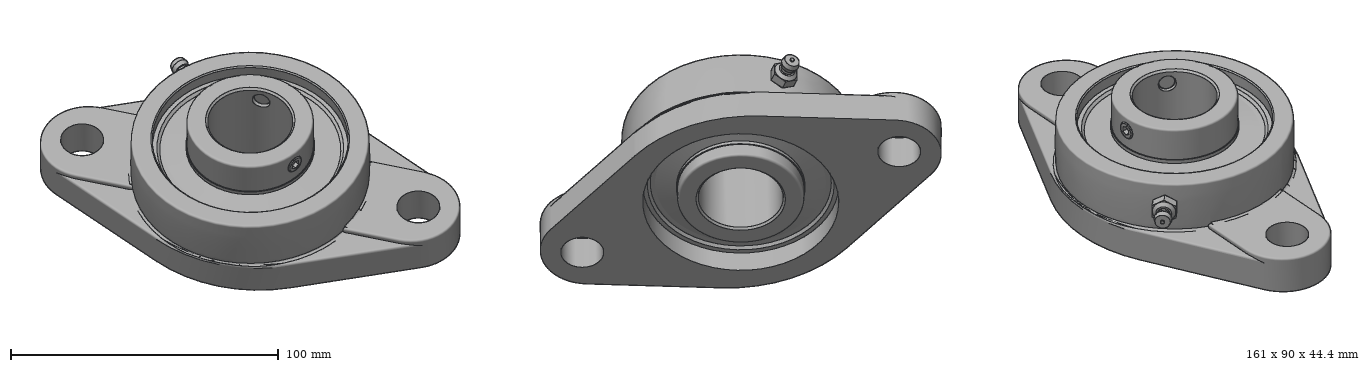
import cadquery as cq
import math

FLANGE_LENGTH = 161.0
FLANGE_WIDTH = 90.0
LUG_RADIUS = 18.0
MIDDLE_ARC_RADIUS = 57.0
PLATE_HEIGHT = 13.1
PAD_HEIGHT = 15.0
EDGE_FILLET = 1.0
BOLT_SPACING = 130.0
BOLT_HOLE_DIAMETER = 16.0

BODY_TOP = 34.0
BODY_END_RADIUS = 44.4
BODY_MIDDLE_RADIUS = 44.65
BODY_FOOT_FILLET = 1.0
HOUSING_BORE_DIAMETER = 73.17
HOUSING_BORE_MOUTH_DIAMETER = 74.17

BEARING_MID_Z = 19.0
OUTER_RING_HALF_WIDTH = 10.0
OUTER_RING_BORE_RADIUS = 33.8
OUTER_RING_MOUTH_RADIUS = 34.86
OUTER_RING_CHAMFER_DEPTH = 1.0

INNER_RING_TOP = 44.4
INNER_RING_BOTTOM = 1.5
INNER_RING_DIAMETER = 47.24
INNER_RING_EDGE_FILLET = 1.0
SHAFT_BORE_DIAMETER = 31.75
SHAFT_BORE_CHAMFER = 0.8

SEAL_RIM_INNER_DIAMETER = 63.8
SEAL_FACE_RISE = 1.45
SEAL_THICKNESS = 1.5
SEAL_COLLAR_DIAMETER = 48.0
SEAL_COLLAR_HEIGHT = 1.5

SCREW_DIAMETER = 6.78
SCREW_END_DIAMETER = 6.0
SCREW_END_CHAMFER = (SCREW_DIAMETER - SCREW_END_DIAMETER) / 2
SCREW_Z = 38.4
SCREW_ANGLES = (-30.0, 90.0)
SCREW_INNER_END = 17.0
SCREW_OUTER_END = 24.0
SOCKET_ACROSS_FLATS = 3.2
SOCKET_DEPTH = 3.0

NIPPLE_ANGLE = 135.0
NIPPLE_Z = 24.0
NIPPLE_STEM_RADIUS = 5.99 / 2
NIPPLE_STEM_START = 38.0
NIPPLE_HEX_START = 44.4
NIPPLE_HEX_END = 48.0
NIPPLE_HEX_ACROSS_FLATS = 9.0
NIPPLE_CONE_END = 49.2
NIPPLE_CONE_BASE_RADIUS = 4.4
NIPPLE_CONE_TOP_RADIUS = 3.0
NIPPLE_NECK_RADIUS = 2.3
NIPPLE_NECK_END = 50.8
NIPPLE_HEAD_SHOULDER_RADIUS = 2.8
NIPPLE_HEAD_WIDEST = 52.6
NIPPLE_HEAD_RADIUS = 6.78 / 2
NIPPLE_HEAD_END = 54.6
NIPPLE_HEAD_END_RADIUS = 2.9
NIPPLE_BALL_RADIUS = 1.5 / 2
NIPPLE_TIP = 55.1


def revolve_about_z(points):
    """Solid of revolution from (radius, z) points."""
    return cq.Workplane("XZ").polyline(points).close().revolve(360, (0, 0, 0), (0, 1, 0))


def radial_plane(angle, distance, z):
    """Plane at a distance from the bearing axis, facing outward at the given angle, with local y up."""
    across = math.cos(math.radians(angle))
    along = math.sin(math.radians(angle))
    origin = (distance * across, distance * along, z)
    return cq.Plane(origin=origin, xDir=(-along, across, 0), normal=(across, along, 0))


def flange_outline():
    lug_x = FLANGE_LENGTH / 2 - LUG_RADIUS
    arc_drop = MIDDLE_ARC_RADIUS - FLANGE_WIDTH / 2
    centre_distance = math.hypot(lug_x, arc_drop)
    radius_difference = MIDDLE_ARC_RADIUS - LUG_RADIUS
    flank_normal = math.acos(radius_difference / centre_distance) + math.atan2(arc_drop, lug_x)
    cosine, sine = math.cos(flank_normal), math.sin(flank_normal)
    lug_touch_x = lug_x + LUG_RADIUS * cosine
    lug_touch_y = LUG_RADIUS * sine
    arc_touch_x = MIDDLE_ARC_RADIUS * cosine
    arc_touch_y = MIDDLE_ARC_RADIUS * sine - arc_drop
    return (
        cq.Workplane("XY")
        .moveTo(-arc_touch_x, arc_touch_y)
        .threePointArc((0, FLANGE_WIDTH / 2), (arc_touch_x, arc_touch_y))
        .lineTo(lug_touch_x, lug_touch_y)
        .threePointArc((FLANGE_LENGTH / 2, 0), (lug_touch_x, -lug_touch_y))
        .lineTo(arc_touch_x, -arc_touch_y)
        .threePointArc((0, -FLANGE_WIDTH / 2), (-arc_touch_x, -arc_touch_y))
        .lineTo(-lug_touch_x, -lug_touch_y)
        .threePointArc((-FLANGE_LENGTH / 2, 0), (-lug_touch_x, lug_touch_y))
        .close()
    )


def make_foot(floor):
    """Concave fillet ring around the round body where it stands on a floor at the given height."""
    return (
        cq.Workplane("XZ")
        .moveTo(HOUSING_BORE_DIAMETER / 2, floor)
        .lineTo(BODY_END_RADIUS + BODY_FOOT_FILLET, floor)
        .radiusArc((BODY_END_RADIUS, floor + BODY_FOOT_FILLET), BODY_FOOT_FILLET)
        .lineTo(HOUSING_BORE_DIAMETER / 2, floor + BODY_FOOT_FILLET)
        .close()
        .revolve(360, (0, 0, 0), (0, 1, 0))
    )


def make_housing():
    plate = flange_outline().extrude(PLATE_HEIGHT).faces(">Z").edges().fillet(EDGE_FILLET)
    pad = (
        cq.Workplane("XY")
        .slot2D(FLANGE_LENGTH, 2 * LUG_RADIUS)
        .extrude(PAD_HEIGHT)
        .faces(">Z")
        .edges()
        .fillet(EDGE_FILLET)
    )
    barrel_top = BODY_TOP - EDGE_FILLET
    body = (
        cq.Workplane("XZ")
        .lineTo(BODY_END_RADIUS, 0)
        .lineTo(BODY_END_RADIUS, PLATE_HEIGHT)
        .threePointArc(
            (BODY_MIDDLE_RADIUS, (PLATE_HEIGHT + barrel_top) / 2),
            (BODY_END_RADIUS, barrel_top),
        )
        .radiusArc((BODY_END_RADIUS - EDGE_FILLET, BODY_TOP), -EDGE_FILLET)
        .lineTo(0, BODY_TOP)
        .close()
        .revolve(360, (0, 0, 0), (0, 1, 0))
    )
    plate_foot = make_foot(PLATE_HEIGHT).intersect(flange_outline().extrude(BODY_TOP))
    pad_top_width = 2 * (LUG_RADIUS - EDGE_FILLET)
    pad_foot = make_foot(PAD_HEIGHT).intersect(
        cq.Workplane("XY").rect(FLANGE_LENGTH, pad_top_width).extrude(BODY_TOP)
    )
    bolt_holes = (
        cq.Workplane("XY")
        .pushPoints([(-BOLT_SPACING / 2, 0), (BOLT_SPACING / 2, 0)])
        .circle(BOLT_HOLE_DIAMETER / 2)
        .extrude(PAD_HEIGHT)
    )
    bore = cq.Workplane("XY").circle(HOUSING_BORE_DIAMETER / 2).extrude(BODY_TOP)
    mouth_chamfer = (HOUSING_BORE_MOUTH_DIAMETER - HOUSING_BORE_DIAMETER) / 2
    housing = plate.union(pad).union(body).union(plate_foot).union(pad_foot)
    housing = housing.cut(bolt_holes).cut(bore)
    bore_mouth = cq.selectors.RadiusNthSelector(0)
    return housing.faces(">Z").edges(bore_mouth).chamfer(mouth_chamfer)


def make_outer_ring():
    outer = HOUSING_BORE_DIAMETER / 2
    top = BEARING_MID_Z + OUTER_RING_HALF_WIDTH
    bottom = BEARING_MID_Z - OUTER_RING_HALF_WIDTH
    return revolve_about_z([
        (outer, bottom),
        (outer, top),
        (OUTER_RING_MOUTH_RADIUS, top),
        (OUTER_RING_BORE_RADIUS, top - OUTER_RING_CHAMFER_DEPTH),
        (OUTER_RING_BORE_RADIUS, bottom + OUTER_RING_CHAMFER_DEPTH),
        (OUTER_RING_MOUTH_RADIUS, bottom),
    ])


def make_inner_ring():
    outer = INNER_RING_DIAMETER / 2
    bore = SHAFT_BORE_DIAMETER / 2
    ring = revolve_about_z([
        (bore + SHAFT_BORE_CHAMFER, INNER_RING_BOTTOM),
        (outer, INNER_RING_BOTTOM),
        (outer, INNER_RING_TOP),
        (bore + SHAFT_BORE_CHAMFER, INNER_RING_TOP),
        (bore, INNER_RING_TOP - SHAFT_BORE_CHAMFER),
        (bore, INNER_RING_BOTTOM + SHAFT_BORE_CHAMFER),
    ])
    outer_rim = cq.selectors.RadiusNthSelector(-1)
    ring = ring.faces(">Z").edges(outer_rim).fillet(INNER_RING_EDGE_FILLET)
    return ring.faces("<Z").edges(outer_rim).fillet(INNER_RING_EDGE_FILLET)


def make_seal(side):
    """Conical seal with a hub collar, above (side 1) or below (side -1) the bearing mid plane."""
    rim = BEARING_MID_Z + side * (OUTER_RING_HALF_WIDTH - OUTER_RING_CHAMFER_DEPTH)
    hub = rim + side * SEAL_FACE_RISE
    collar = hub + side * SEAL_COLLAR_HEIGHT
    back = rim - side * SEAL_THICKNESS
    return revolve_about_z([
        (OUTER_RING_BORE_RADIUS, back),
        (OUTER_RING_BORE_RADIUS, rim),
        (SEAL_RIM_INNER_DIAMETER / 2, rim),
        (SEAL_COLLAR_DIAMETER / 2, hub),
        (SEAL_COLLAR_DIAMETER / 2, collar),
        (INNER_RING_DIAMETER / 2, collar),
        (INNER_RING_DIAMETER / 2, back),
    ])


def make_screw_hole(angle):
    plane = radial_plane(angle, 0, SCREW_Z)
    return cq.Workplane(plane).circle(SCREW_DIAMETER / 2).extrude(SCREW_OUTER_END)


def make_set_screw(angle):
    length = SCREW_OUTER_END - SCREW_INNER_END
    start = cq.Workplane(radial_plane(angle, SCREW_INNER_END, SCREW_Z))
    shank = start.circle(SCREW_DIAMETER / 2).extrude(length).edges().chamfer(SCREW_END_CHAMFER)
    socket = (
        cq.Workplane(radial_plane(angle, SCREW_OUTER_END - SOCKET_DEPTH, SCREW_Z))
        .polygon(6, SOCKET_ACROSS_FLATS, circumscribed=True)
        .extrude(SOCKET_DEPTH)
    )
    return shank.cut(socket)


def make_nipple():
    hexagon = (
        cq.Workplane(radial_plane(NIPPLE_ANGLE, NIPPLE_HEX_START, NIPPLE_Z))
        .polygon(6, NIPPLE_HEX_ACROSS_FLATS, circumscribed=True)
        .extrude(NIPPLE_HEX_END - NIPPLE_HEX_START)
    )
    plane = radial_plane(NIPPLE_ANGLE, 0, NIPPLE_Z)
    profile_plane = cq.Plane(origin=plane.origin, xDir=plane.zDir, normal=plane.yDir)
    turned = (
        cq.Workplane(profile_plane)
        .polyline([
            (NIPPLE_STEM_START, 0),
            (NIPPLE_STEM_START, NIPPLE_STEM_RADIUS),
            (NIPPLE_HEX_END, NIPPLE_STEM_RADIUS),
            (NIPPLE_HEX_END, NIPPLE_CONE_BASE_RADIUS),
            (NIPPLE_CONE_END, NIPPLE_CONE_TOP_RADIUS),
            (NIPPLE_CONE_END, NIPPLE_NECK_RADIUS),
            (NIPPLE_NECK_END, NIPPLE_NECK_RADIUS),
            (NIPPLE_NECK_END, NIPPLE_HEAD_SHOULDER_RADIUS),
            (NIPPLE_HEAD_WIDEST, NIPPLE_HEAD_RADIUS),
            (NIPPLE_HEAD_END, NIPPLE_HEAD_END_RADIUS),
            (NIPPLE_HEAD_END, NIPPLE_BALL_RADIUS),
            (NIPPLE_TIP, NIPPLE_BALL_RADIUS),
            (NIPPLE_TIP, 0),
        ])
        .close()
        .revolve(360, (0, 0, 0), (1, 0, 0))
    )
    return hexagon.union(turned)


nipple = make_nipple()
housing = make_housing().cut(nipple)
outer_ring = make_outer_ring()
inner_ring = make_inner_ring()
for screw_angle in SCREW_ANGLES:
    inner_ring = inner_ring.cut(make_screw_hole(screw_angle))
set_screws = [make_set_screw(screw_angle) for screw_angle in SCREW_ANGLES]
seals = [make_seal(side) for side in (1, -1)]

result = cq.Compound.makeCompound([
    housing.val(),
    outer_ring.val(),
    inner_ring.val(),
    *[seal.val() for seal in seals],
    *[screw.val() for screw in set_screws],
    nipple.val(),
])